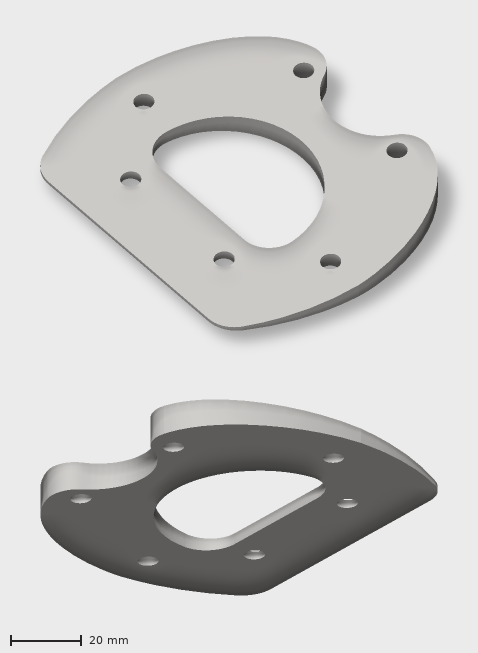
import cadquery as cq
import math

half_width = 53.68
bottom_y = -40.05
lower_corner_x = 41.2
lower_side_radius = 80.0
bottom_corner_radius = 10.0

upper_side_pull = 19.5
shoulder = (43.5, 44.4)
horn_start = (26.0, 49.4)
horn_radius = 9.0
notch_bottom_y = 35.7

window_radius = 28.2
window_centre_y = -4.5
window_bottom_y = -12.9
window_corner_radius = 9.5

hole_diameter = 6.0
hole_half_spacing = 20.7
side_hole_x = 2 * hole_half_spacing
upper_hole_y = 41.6
lower_hole_y = -22.0

face_tilt = math.radians(2.5)
edge_thickness = 1.08
blank_height = 20.0
wedge_length = 100.0


def mirrored(point):
    """The same point on the -X side."""
    return (-point[0], point[1])


def horn_and_notch():
    """Points of the right horn arc (middle, end) and of the notch bottom.

    The horn arc continues the upper side curve smoothly and meets the notch
    arc, which is centred on the Y axis, tangentially.
    """
    start_angle = math.atan2(shoulder[0] - horn_start[0], shoulder[1] - horn_start[1]) - math.pi / 2
    centre_x = horn_start[0] - horn_radius * math.sin(start_angle)
    centre_y = horn_start[1] - horn_radius * math.cos(start_angle)

    rise = centre_y - notch_bottom_y
    notch_radius = (centre_x**2 + rise**2 - horn_radius**2) / (2 * (rise + horn_radius))
    notch_centre_y = notch_bottom_y + notch_radius
    end_angle = math.atan2(-centre_x, notch_centre_y - centre_y)

    def on_horn(angle):
        return (centre_x + horn_radius * math.sin(angle), centre_y + horn_radius * math.cos(angle))

    return on_horn((start_angle + end_angle) / 2), on_horn(end_angle), (0, notch_bottom_y)


def outline_plate(height):
    """Vertical prism with the plate's outline, centred on Z = 0."""
    widest = (half_width, 0)
    side_handle = (half_width, upper_side_pull)
    horn_middle, horn_end, notch_bottom = horn_and_notch()
    plate = (
        cq.Workplane("XY")
        .workplane(offset=-height / 2)
        .moveTo(-lower_corner_x, bottom_y)
        .lineTo(lower_corner_x, bottom_y)
        .radiusArc(widest, -lower_side_radius)
        .bezier([widest, side_handle, shoulder, horn_start])
        .threePointArc(horn_middle, horn_end)
        .threePointArc(notch_bottom, mirrored(horn_end))
        .threePointArc(mirrored(horn_middle), mirrored(horn_start))
        .bezier([mirrored(p) for p in (horn_start, shoulder, side_handle, widest)])
        .radiusArc((-lower_corner_x, bottom_y), -lower_side_radius)
        .close()
        .extrude(height)
    )
    return plate.edges("|Z").edges("<Y").fillet(bottom_corner_radius)


def window(height):
    """D-shaped opening with rounded lower corners."""
    disc = cq.Workplane("XY").center(0, window_centre_y).circle(window_radius).extrude(height / 2, both=True)
    above_straight_edge = (
        cq.Workplane("XY")
        .center(0, window_bottom_y + window_radius)
        .rect(2 * window_radius, 2 * window_radius)
        .extrude(height / 2, both=True)
    )
    return disc.intersect(above_straight_edge).edges("|Z").fillet(window_corner_radius)


def screw_holes(height):
    """Six vertical hole cylinders."""
    places = []
    for side in (-1, 1):
        places.append((side * hole_half_spacing, upper_hole_y))
        places.append((side * side_hole_x, 0))
        places.append((side * hole_half_spacing, lower_hole_y))
    return cq.Workplane("XY").pushPoints(places).circle(hole_diameter / 2).extrude(height / 2, both=True)


def wedge(length):
    """Tapered slab, thinnest at the straight edge and thickening toward +Y."""
    thin = edge_thickness / 2
    thick = thin + length * math.tan(face_tilt)
    thick_end_y = bottom_y + length
    return (
        cq.Workplane("YZ")
        .polyline([(bottom_y, -thin), (thick_end_y, -thick), (thick_end_y, thick), (bottom_y, thin)])
        .close()
        .extrude(2 * half_width, both=True)
    )


result = (
    outline_plate(blank_height)
    .cut(window(blank_height))
    .cut(screw_holes(blank_height))
    .intersect(wedge(wedge_length))
)